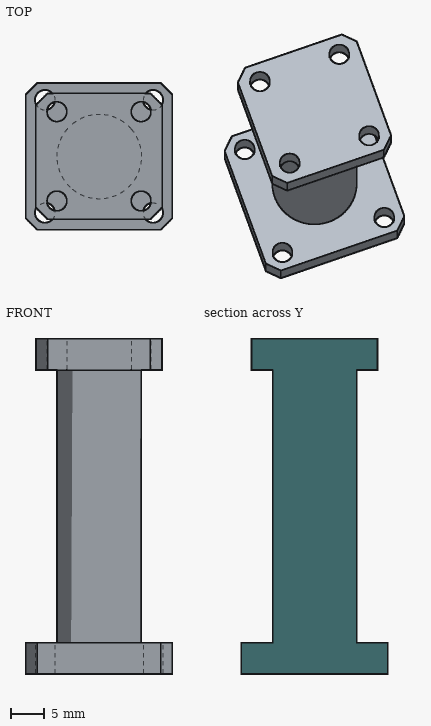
import cadquery as cq

total_height = 50.8
plate_thickness = 4.8
corner_chamfer = 1.8
tube_diameter = 12.8
hole_diameter = 3.0

lower_side = 22.25
lower_spacing_x = 16.35
lower_spacing_y = 17.05

upper_side = 19.1
upper_spacing_x = 12.75
upper_spacing_y = 13.5


def flange(side, spacing_x, spacing_y, base_z):
    """Square plate with chamfered corners and four through holes."""
    return (
        cq.Workplane("XY", origin=(0, 0, base_z))
        .rect(side, side)
        .extrude(plate_thickness)
        .edges("|Z")
        .chamfer(corner_chamfer)
        .faces(">Z")
        .workplane()
        .rect(spacing_x, spacing_y, forConstruction=True)
        .vertices()
        .hole(hole_diameter)
    )


lower_flange = flange(lower_side, lower_spacing_x, lower_spacing_y, 0)
upper_flange = flange(
    upper_side, upper_spacing_x, upper_spacing_y, total_height - plate_thickness
)

column = (
    cq.Workplane("XY", origin=(0, 0, plate_thickness))
    .circle(tube_diameter / 2)
    .extrude(total_height - 2 * plate_thickness)
)

result = lower_flange.union(column).union(upper_flange)